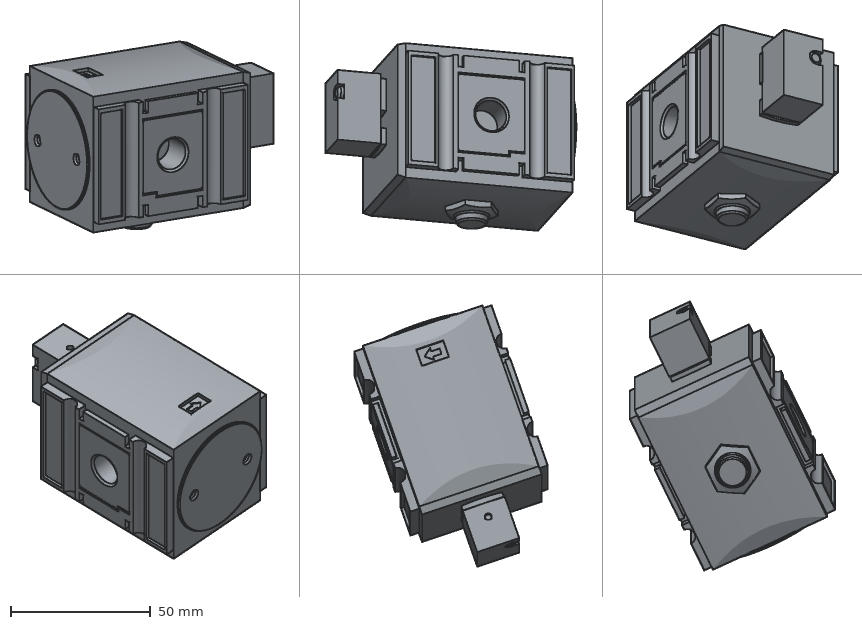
import cadquery as cq
import math


block_half_width = 22.6
side_half_height = 25.4
dome_half_height = 27.1
housing_half_length = 31.1
cover_back_y = 34.0
bevel_run = 6.2
bevel_slope = (dome_half_height - side_half_height) / bevel_run
bevel_overshoot = 0.85

rail_outer_x = 26.0
rail_half_height = 21.45
rail_front_y = -30.8
groove_y = 17.0
groove_diameter = 5.5

notch_outer_y = 12.3
notch_inner_y = 10.3
notch_floor_z = 17.2
lip_thickness = 1.95
lip_root_radius = 0.5

plate_top_z = 15.0
plate_low_z = -15.1
plate_step_z = -13.45
plate_step_y = -7.0
plate_inset = 0.1
frame_gap = 0.5
frame_depth = 0.5
plate_corner_radius = 0.7

port_mouth_diameter = 13.2
port_diameter = 11.4
port_depth = 12.8

pocket_inner_y = 20.8
pocket_outer_y = 29.9
pocket_half_height = 19.9
pocket_depth = 1.2
pocket_corner_radius = 0.5

cap_neck_diameter = 37.2
cap_neck_length = 0.9
cap_diameter = 43.5
cap_thickness = 0.9
cap_chamfer = 0.4
cap_hole_x = 13.9
cap_hole_diameter = 3.2
cap_hole_mouth_diameter = 4.25
cap_hole_mouth_angle = 60.0
cap_hole_depth = 3.4

mark_y = -20.1
mark_length = 10.2
mark_width = 6.3
mark_floor_z = 25.7
arrow_depth = 0.4
arrow_tail_x = -3.0
arrow_neck_x = 0.2
arrow_tip_x = 3.1
arrow_shaft_half_width = 1.0
arrow_head_half_width = 2.3

hex_across_flats = 17.0
hex_corner_radius = hex_across_flats / math.sqrt(3)
hex_corner_z = -28.7
shoulder_radius = 6.5
shoulder_z = -29.9
nose_top_radius = 5.95
nose_top_z = -30.55
nose_low_radius = 5.5
nose_low_z = -32.3
nose_tip_radius = 4.9
nose_tip_z = -33.0

connector_half_width = 7.96
connector_front_y = 36.1
connector_back_y = 52.2
connector_top_z = 18.0
connector_low_z = -8.25
connector_hole_y = 41.2
connector_hole_diameter = 2.5
connector_hole_depth = 2.55

spacer_half_width = 7.75
upper_spacer_top_z = 18.0
upper_spacer_low_z = 3.8
upper_spacer_top_crown = 1.8
lower_spacer_top_z = -1.8
lower_spacer_low_z = -8.9
lower_spacer_back_y = 35.8
spacer_crown = 0.5

screw_diameter = 5.3
screw_x = screw_diameter / 2 - connector_half_width
screw_z = 10.1
screw_slot_depth = 2.5
screw_head_height = 2.1
screw_head_chamfer = 0.9


def box(x_range, y_range, z_range):
    """Box between the given (low, high) limits along each axis."""
    (x0, x1), (y0, y1), (z0, z1) = x_range, y_range, z_range
    return cq.Workplane("XY").box(x1 - x0, y1 - y0, z1 - z0, centered=False).translate((x0, y0, z0))


def crowned_bar(half_width, top_edge_z, top_z, low_edge_z, low_z, y_range):
    """Bar along Y whose upper and lower sides bulge as arcs between straight flanks."""
    y0, y1 = y_range
    return (
        cq.Workplane("XZ", origin=(0, y0, 0))
        .moveTo(-half_width, low_edge_z)
        .lineTo(-half_width, top_edge_z)
        .threePointArc((0, top_z), (half_width, top_edge_z))
        .lineTo(half_width, low_edge_z)
        .threePointArc((0, low_z), (-half_width, low_edge_z))
        .close()
        .extrude(y0 - y1)
    )


def beveled_block(y_range):
    """Stretch of the domed block, with the end bevels that run into its domes."""
    domed = crowned_bar(
        block_half_width, side_half_height, dome_half_height, -side_half_height, -dome_half_height, y_range
    )
    ridge_z = dome_half_height + bevel_overshoot
    ridge_y = housing_half_length - (ridge_z - side_half_height) / bevel_slope
    back_z = side_half_height - (cover_back_y - housing_half_length) * bevel_slope
    upper = [(-cover_back_y, back_z), (-ridge_y, ridge_z), (ridge_y, ridge_z), (cover_back_y, back_z)]
    lower = [(y, -z) for y, z in reversed(upper)]
    envelope = cq.Workplane("YZ").polyline(upper + lower).close().extrude(block_half_width, both=True)
    return domed.intersect(envelope)


def rail_blank():
    """Rail on the -X side with its two round grooves along Z."""
    rail = box(
        (-rail_outer_x, -block_half_width),
        (rail_front_y, housing_half_length),
        (-rail_half_height, rail_half_height),
    )
    grooves = (
        cq.Workplane("XY")
        .pushPoints([(-rail_outer_x, groove_y), (-rail_outer_x, -groove_y)])
        .circle(groove_diameter / 2)
        .extrude(rail_half_height, both=True)
    )
    return rail.cut(grooves)


def upper_relief():
    """Two notches at the top of the rail, joined by a slot behind the lip between them."""
    z_range = (notch_floor_z, rail_half_height)
    slot_x = (-rail_outer_x + lip_thickness, -block_half_width)
    relief = box(slot_x, (-notch_inner_y, notch_inner_y), z_range).edges("<X and <Z").fillet(lip_root_radius)
    full_x = (-rail_outer_x, -block_half_width)
    for y_range in ((-notch_outer_y, -notch_inner_y), (notch_inner_y, notch_outer_y)):
        relief = relief.union(box(full_x, y_range, z_range))
    return relief


def plate_outline(gap):
    """Stepped plate outline, drawn in by the gap everywhere except on its two upright sides."""
    return (
        cq.Workplane("YZ", origin=(-rail_outer_x, 0, 0))
        .moveTo(-notch_outer_y, plate_top_z - gap)
        .lineTo(notch_outer_y, plate_top_z - gap)
        .lineTo(notch_outer_y, plate_low_z + gap)
        .lineTo(plate_step_y + gap, plate_low_z + gap)
        .lineTo(plate_step_y + gap, plate_step_z + gap)
        .lineTo(-notch_outer_y, plate_step_z + gap)
        .close()
    )


def plate_frame():
    """Cutter that leaves the port plate slightly sunk, with a gap above and below it."""
    recess = plate_outline(0).extrude(frame_depth)
    corners = cq.selectors.BoxSelector(
        (-rail_outer_x - 0.85, notch_outer_y - 0.85, -rail_half_height),
        (-block_half_width, notch_outer_y + 0.85, rail_half_height),
    ) + cq.selectors.BoxSelector(
        (-rail_outer_x - 0.85, -notch_outer_y - 0.85, -rail_half_height),
        (-block_half_width, -notch_outer_y + 0.85, rail_half_height),
    )
    plate = plate_outline(frame_gap).extrude(frame_depth).edges("|X").edges(corners).fillet(plate_corner_radius)
    return recess.cut(plate.translate((plate_inset, 0, 0)))


def label_pocket(side):
    """Shallow pocket near one rail end, rounded on its outer corners; side is the sign of Y."""
    y_range = sorted((side * pocket_inner_y, side * pocket_outer_y))
    pocket = box(
        (-rail_outer_x, -rail_outer_x + pocket_depth), y_range, (-pocket_half_height, pocket_half_height)
    )
    outer_side = ">Y" if side > 0 else "<Y"
    return pocket.edges("|X").edges(outer_side).fillet(pocket_corner_radius)


def port():
    """Blind port bore on the -X side with a chamfered mouth."""
    face_point = cq.Vector(-rail_outer_x, 0, 0)
    inward = cq.Vector(1, 0, 0)
    mouth_radius = port_mouth_diameter / 2
    bore_radius = port_diameter / 2
    bore = cq.Solid.makeCylinder(bore_radius, port_depth, face_point, inward)
    mouth = cq.Solid.makeCone(mouth_radius, bore_radius, mouth_radius - bore_radius, face_point, inward)
    return cq.Workplane(bore).union(cq.Workplane(mouth))


def front_cap():
    """Round cap on a short neck, with two countersunk blind holes."""
    neck = cq.Workplane("XZ", origin=(0, -housing_half_length, 0)).circle(cap_neck_diameter / 2)
    cap_y = -housing_half_length - cap_neck_length
    disc = cq.Workplane("XZ", origin=(0, cap_y, 0)).circle(cap_diameter / 2).extrude(cap_thickness)
    disc = disc.faces("<Y").edges().chamfer(cap_chamfer)
    cap = neck.extrude(cap_neck_length).union(disc)
    return (
        cap.faces("<Y")
        .workplane(origin=(0, 0, 0))
        .pushPoints([(-cap_hole_x, 0), (cap_hole_x, 0)])
        .cskHole(cap_hole_diameter, cap_hole_mouth_diameter, cap_hole_mouth_angle, cap_hole_depth)
    )


def arrow_mark():
    """Cutter for the sunk mark in the top dome, with an arrow engraved in its floor that points to +X."""
    floor = cq.Workplane("XY", origin=(0, mark_y, mark_floor_z))
    field = floor.rect(mark_length, mark_width).extrude(dome_half_height - mark_floor_z)
    upper = [
        (arrow_tail_x, arrow_shaft_half_width),
        (arrow_neck_x, arrow_shaft_half_width),
        (arrow_neck_x, arrow_head_half_width),
    ]
    lower = [(x, -y) for x, y in reversed(upper)]
    arrow = floor.polyline(upper + [(arrow_tip_x, 0)] + lower).close().extrude(-arrow_depth)
    return field.union(arrow)


def bottom_fitting():
    """Hexagonal fitting with a turned shoulder and a tapered nose pointing down."""
    top_z = -side_half_height
    turned = (
        cq.Workplane("XZ")
        .polyline(
            [
                (0, top_z),
                (hex_corner_radius, top_z),
                (hex_corner_radius, hex_corner_z),
                (shoulder_radius, shoulder_z),
                (nose_top_radius, nose_top_z),
                (nose_low_radius, nose_low_z),
                (nose_tip_radius, nose_tip_z),
                (0, nose_tip_z),
            ]
        )
        .close()
        .revolve(360, (0, 0, 0), (0, 1, 0))
    )
    hexagon = (
        cq.Workplane("XY", origin=(0, 0, top_z))
        .polygon(6, 2 * hex_corner_radius)
        .extrude(nose_tip_z - top_z)
        .rotate((0, 0, 0), (0, 0, 1), 90)
    )
    return turned.intersect(hexagon)


def make_housing():
    """Housing block with rails, ports, front cap, arrow mark and bottom fitting."""
    rail = rail_blank().cut(plate_frame())
    for side in (-1, 1):
        rail = rail.cut(label_pocket(side))
    relief = upper_relief()
    rail = rail.cut(relief).cut(relief.mirror("XY"))
    housing = beveled_block((-housing_half_length, housing_half_length))
    bore = port()
    housing = housing.union(rail).union(rail.mirror("YZ")).cut(bore).cut(bore.mirror("YZ"))
    return housing.cut(arrow_mark()).union(front_cap()).union(bottom_fitting())


def connector():
    """Connector block with a hole in its top and a screw head in a slot open to -X and the back."""
    block = box(
        (-connector_half_width, connector_half_width),
        (connector_front_y, connector_back_y),
        (connector_low_z, connector_top_z),
    )
    hole = cq.Workplane("XY", origin=(0, connector_hole_y, connector_top_z))
    hole = hole.circle(connector_hole_diameter / 2).extrude(-connector_hole_depth)
    screw_radius = screw_diameter / 2
    slot_floor_y = connector_back_y - screw_slot_depth
    screw_foot = cq.Workplane("XZ", origin=(screw_x, slot_floor_y, screw_z))
    slot_end = screw_foot.circle(screw_radius).extrude(-screw_slot_depth)
    screw_head = screw_foot.circle(screw_radius).extrude(-screw_head_height).faces(">Y").chamfer(screw_head_chamfer)
    slot = box(
        (-connector_half_width, screw_x),
        (slot_floor_y, connector_back_y),
        (screw_z - screw_radius, screw_z + screw_radius),
    ).union(slot_end)
    return block.cut(hole).cut(slot).union(screw_head)


def make_rear_cover():
    """Rear cover that continues the housing block and carries the connector on the upper spacer."""
    cover = beveled_block((housing_half_length, cover_back_y))
    upper_spacer = crowned_bar(
        spacer_half_width,
        upper_spacer_top_z - upper_spacer_top_crown,
        upper_spacer_top_z,
        upper_spacer_low_z + spacer_crown,
        upper_spacer_low_z,
        (cover_back_y, connector_front_y),
    )
    lower_spacer = crowned_bar(
        spacer_half_width,
        lower_spacer_top_z - spacer_crown,
        lower_spacer_top_z,
        lower_spacer_low_z + spacer_crown,
        lower_spacer_low_z,
        (cover_back_y, lower_spacer_back_y),
    )
    return cover.union(upper_spacer).union(lower_spacer).union(connector())


housing = make_housing()
rear_cover = make_rear_cover()
result = cq.Compound.makeCompound([housing.val(), rear_cover.val()])